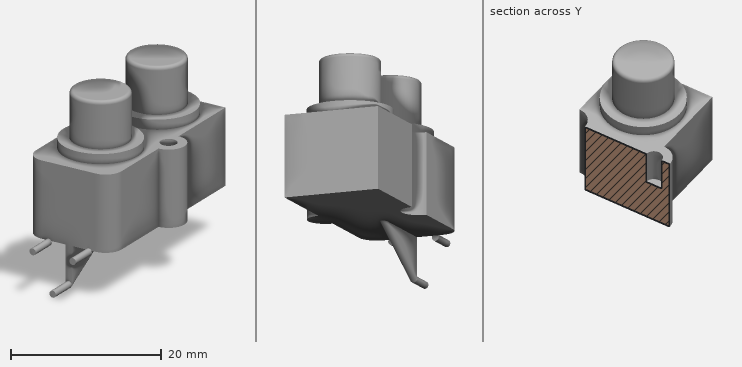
import cadquery as cq
import math


block_width = 13.5
block_length = 28.5
block_height = 11.3
front_corner_radius = 2.5

interlock_radius = 2.5
interlock_y = block_length / 2
tab_hole_diameter = 2.4
tab_hole_depth = 5.0

collar_diameter = 11.6
collar_height = 1.45
button_diameter = 8.3
button_height = 6.9
button_edge_radius = 0.5
front_button_y = 8.0
button_pitch = 14.0

pin_diameter = 1.0
pin_radius = pin_diameter / 2
pin_length = 4.0
pin_pitch_x = 3.15
outer_pin_z = -0.24
center_pin_z = -5.65

web_slope = math.radians(29.2)
web_axis_z = -5.6
web_run = -web_axis_z / math.tan(web_slope)
web_overrun = 0.22


def make_block():
    block = (
        cq.Workplane("XY")
        .box(block_width, block_length, block_height, centered=(True, False, False))
        .edges("|Z and <Y")
        .fillet(front_corner_radius)
    )
    interlock = cq.Workplane("XY").circle(interlock_radius).extrude(block_height)
    tab = interlock.translate((block_width / 2, interlock_y, 0))
    socket = interlock.translate((-block_width / 2, interlock_y, 0))
    tab_hole = (
        cq.Workplane("XY", origin=(block_width / 2, interlock_y, block_height))
        .circle(tab_hole_diameter / 2)
        .extrude(-tab_hole_depth)
    )
    return block.union(tab).cut(socket).cut(tab_hole)


def make_button(y):
    collar = (
        cq.Workplane("XY", origin=(0, y, block_height))
        .circle(collar_diameter / 2)
        .extrude(collar_height)
    )
    button = (
        cq.Workplane("XY", origin=(0, y, block_height + collar_height))
        .circle(button_diameter / 2)
        .extrude(button_height)
        .faces(">Z")
        .edges()
        .fillet(button_edge_radius)
    )
    return collar.union(button)


def make_pin(x, z):
    return cq.Workplane("XZ", origin=(x, 0, z)).circle(pin_radius).extrude(pin_length)


def make_web():
    plate = (
        cq.Workplane("YZ", origin=(-pin_radius, 0, 0))
        .polyline([(0, 0), (web_run, 0), (0, web_axis_z)])
        .close()
        .extrude(pin_diameter)
    )
    slope_direction = cq.Vector(0, math.cos(web_slope), math.sin(web_slope))
    edge_start = cq.Vector(0, 0, web_axis_z) - slope_direction * web_overrun
    edge_length = web_overrun + block_length / 2
    edge_plane = cq.Plane(origin=edge_start, xDir=(1, 0, 0), normal=slope_direction)
    rounded_edge = (
        cq.Workplane(edge_plane)
        .moveTo(-pin_radius, 0)
        .threePointArc((0, pin_radius), (pin_radius, 0))
        .close()
        .extrude(edge_length)
    )
    return plate.union(rounded_edge)


result = make_block()
for button_y in (front_button_y, front_button_y + button_pitch):
    result = result.union(make_button(button_y))
result = result.union(make_web()).union(make_pin(0, center_pin_z))
for side in (-1, 1):
    result = result.union(make_pin(side * pin_pitch_x, outer_pin_z))